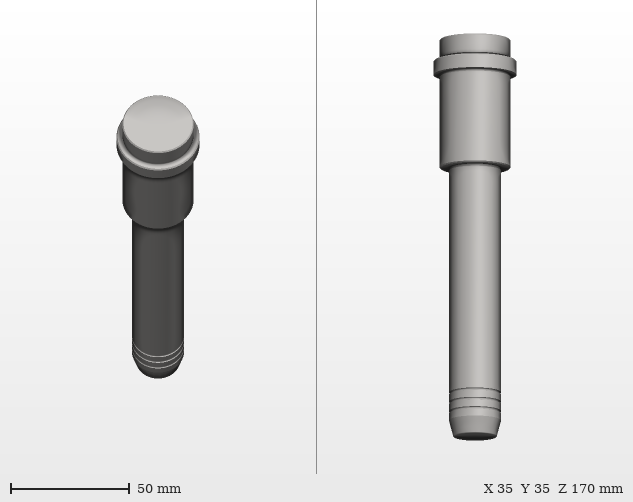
import cadquery as cq
import math

total_length = 170.0
head_diameter = 30.0
flange_diameter = 35.0
shaft_diameter = 22.0

cap_height = 9.0
flange_thickness = 6.0
shank_length = 40.0
edge_chamfer = 0.5

groove_radius = 0.5
shaft_groove_count = 3
shaft_groove_pitch = 4.0
lowest_groove_height = 3.0

relief_width = 1.0
relief_depth = 0.4

taper_length = 7.0
taper_angle = 15.0
tip_fillet = 0.5

head_radius = head_diameter / 2
flange_radius = flange_diameter / 2
shaft_radius = shaft_diameter / 2
relief_radius = shaft_radius - relief_depth
tip_radius = shaft_radius - taper_length * math.tan(math.radians(taper_angle))
groove_width = 2 * groove_radius
flange_top = total_length - cap_height
flange_bottom = flange_top - flange_thickness
shank_bottom = flange_bottom - shank_length
relief_bottom = shank_bottom - relief_width


def add_groove(outline, wall_radius, bottom):
    """Continue the outline straight to the wall, then around a half-round groove, as two quarter arcs."""
    middle = bottom + groove_radius
    deepest_radius = wall_radius - groove_radius
    arc_offset = groove_radius * math.sin(math.radians(45))
    return (
        outline.lineTo(wall_radius, bottom)
        .threePointArc((wall_radius - arc_offset, middle - arc_offset), (deepest_radius, middle))
        .threePointArc((wall_radius - arc_offset, middle + arc_offset), (wall_radius, bottom + groove_width))
    )


def add_shaft(outline):
    """Outline of the tapered tip, the shaft with its grooves, and the relief under the shank."""
    outline = outline.lineTo(tip_radius, 0).lineTo(shaft_radius, taper_length)
    for index in range(shaft_groove_count):
        bottom = taper_length + lowest_groove_height + index * shaft_groove_pitch
        outline = add_groove(outline, shaft_radius, bottom)
    return (
        outline.lineTo(shaft_radius, relief_bottom)
        .lineTo(relief_radius, relief_bottom)
        .lineTo(relief_radius, shank_bottom)
    )


def add_head(outline):
    """Outline of the shank, the flange and the cap, with a groove on each side of the flange."""
    outline = outline.lineTo(head_radius - edge_chamfer, shank_bottom)
    outline = outline.lineTo(head_radius, shank_bottom + edge_chamfer)
    outline = add_groove(outline, head_radius, flange_bottom - groove_width)
    outline = (
        outline.lineTo(flange_radius, flange_bottom)
        .lineTo(flange_radius, flange_top - edge_chamfer)
        .lineTo(flange_radius - edge_chamfer, flange_top)
    )
    outline = add_groove(outline, head_radius, flange_top)
    return (
        outline.lineTo(head_radius, total_length - edge_chamfer)
        .lineTo(head_radius - edge_chamfer, total_length)
        .lineTo(0, total_length)
    )


def make_pin():
    """Revolve the half outline about Z and round the tip edge."""
    outline = add_head(add_shaft(cq.Workplane("XZ").moveTo(0, 0)))
    pin = outline.close().revolve(360, (0, 0, 0), (0, 1, 0), clean=False)
    tip_edges = pin.faces("<Z").edges().vals()
    return pin.newObject([pin.val().fillet(tip_fillet, tip_edges)])


result = make_pin()